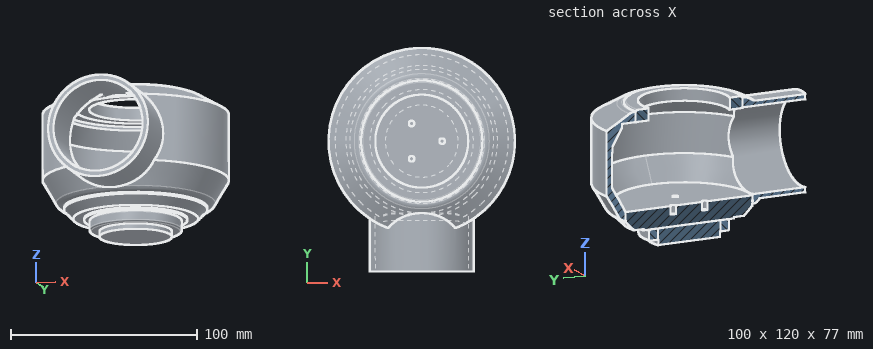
import cadquery as cq
import math


total_length = 120.0
body_radius = 50.0
body_top = 30.0
body_bottom = -30.0
wall_top = 21.4
wall_bottom = -15.0
top_slope = 30.0
bottom_slope = 60.0
shoulder_fillet = 5.0

cavity_radius = 46.5
cavity_slope = 60.0
cavity_top = 11.9
cavity_bottom = -10.9
upper_cone_top = 22.0
cavity_ceiling = 24.0

pipe_outer_radius = 28.0
pipe_inner_radius = 25.0
pipe_reach = total_length - body_radius

ring_radius = 32.5
ring_bore_radius = 25.0
ring_bottom = cavity_ceiling
ring_top = 31.0
edge_fillet = 1.0

cover_radius = 38.5
cover_top = -25.0
cover_rim_bottom = -31.0
cover_bottom = -36.0
cover_lower_radius = cover_radius - (cover_rim_bottom - cover_bottom)
flange_radius = 27.7
flange_bottom = -36.7
screw_hole_count = 3
screw_hole_circle_radius = 10.9
screw_hole_diameter = 3.0
screw_hole_depth = 4.8

collar_radius = 24.8
collar_bottom = -43.0
shaft_radius = 19.5
shaft_bottom = -46.0


def cylinder(radius, bottom, top):
    """Solid cylinder on the Z axis between two heights."""
    return cq.Workplane("XY").workplane(offset=bottom).circle(radius).extrude(top - bottom)


def revolve_profile(points):
    """Revolve a closed (radius, height) outline about the Z axis."""
    return cq.Workplane("XZ").polyline(points).close().revolve(360, (0, 0), (0, 1))


def pipe_cylinder(radius):
    """Cylinder from the body axis to the open end of the pipe."""
    return cq.Workplane("XZ").circle(radius).extrude(pipe_reach)


def make_housing():
    top_radius = body_radius - (body_top - wall_top) / math.tan(math.radians(top_slope))
    bottom_radius = body_radius - (wall_bottom - body_bottom) / math.tan(math.radians(bottom_slope))
    shell = revolve_profile([
        (0, body_bottom),
        (bottom_radius, body_bottom),
        (body_radius, wall_bottom),
        (body_radius, wall_top),
        (top_radius, body_top),
        (0, body_top),
    ])
    shell = shell.faces("<Z or >Z").edges().fillet(shoulder_fillet)

    ceiling_radius = cavity_radius - (upper_cone_top - cavity_top) / math.tan(math.radians(cavity_slope))
    cavity = revolve_profile([
        (0, body_bottom),
        (cover_radius, body_bottom),
        (cover_radius, cover_top),
        (cavity_radius, cavity_bottom),
        (cavity_radius, cavity_top),
        (ceiling_radius, upper_cone_top),
        (ceiling_radius, cavity_ceiling),
        (ring_radius, cavity_ceiling),
        (ring_radius, body_top),
        (0, body_top),
    ])

    return shell.union(pipe_cylinder(pipe_outer_radius)).cut(cavity).cut(pipe_cylinder(pipe_inner_radius))


def make_ring():
    ring = cylinder(ring_radius, ring_bottom, ring_top).faces(">Z").edges().fillet(edge_fillet)
    return ring.cut(cylinder(ring_bore_radius, ring_bottom, ring_top))


def make_cover():
    plug = revolve_profile([
        (0, flange_bottom),
        (flange_radius, flange_bottom),
        (flange_radius, cover_bottom),
        (cover_lower_radius, cover_bottom),
        (cover_radius, cover_rim_bottom),
        (cover_radius, cover_top),
        (0, cover_top),
    ])
    screw_holes = (
        cq.Workplane("XY")
        .workplane(offset=cover_top)
        .polarArray(screw_hole_circle_radius, 0, 360, screw_hole_count)
        .circle(screw_hole_diameter / 2)
        .extrude(-screw_hole_depth)
    )
    return plug.cut(screw_holes)


def make_collar():
    collar = cylinder(collar_radius, collar_bottom, flange_bottom)
    collar = collar.faces("<Z or >Z").edges().fillet(edge_fillet)
    return collar.cut(cylinder(shaft_radius, collar_bottom, flange_bottom))


def make_shaft():
    return cylinder(shaft_radius, shaft_bottom, flange_bottom)


housing = make_housing()
ring = make_ring()
cover = make_cover()
collar = make_collar()
shaft = make_shaft()

result = cq.Compound.makeCompound([
    housing.val(),
    ring.val(),
    cover.val(),
    collar.val(),
    shaft.val(),
])